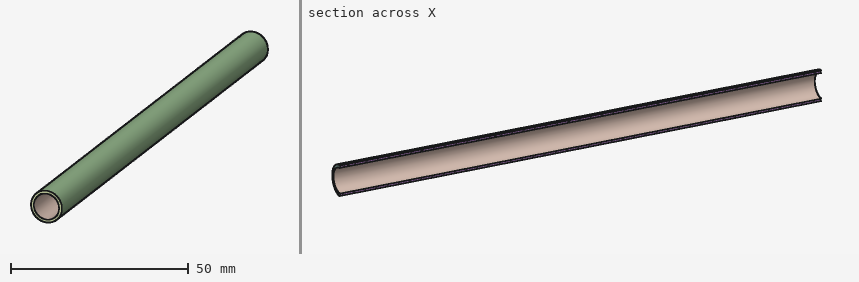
import cadquery as cq

length = 152.4
outer_diameter = 9.5
wall_thickness = 0.88
inner_diameter = outer_diameter - 2 * wall_thickness

result = (
    cq.Workplane("XZ", origin=(0, length / 2, 0))
    .circle(outer_diameter / 2)
    .circle(inner_diameter / 2)
    .extrude(length)
)